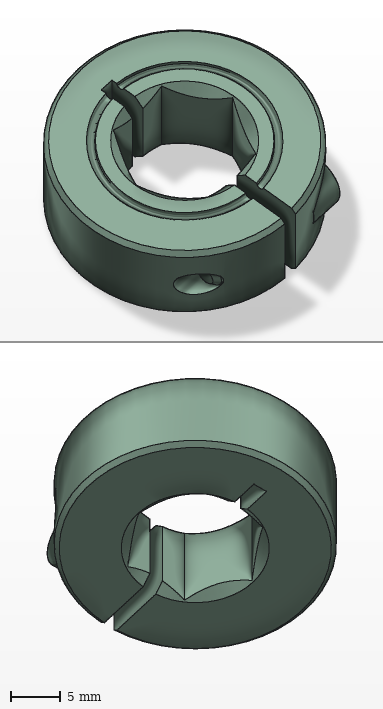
import cadquery as cq
import math

outer_diameter = 28.55
outer_radius = outer_diameter / 2
height = 10.3
top_z = height / 2
rim_chamfer = 0.5

hex_across_flats = 12.7
hex_across_corners = hex_across_flats * 2 / math.sqrt(3)
countersink_diameter = 14.97

groove_inner_radius = 9.02
groove_outer_radius = 9.95
groove_wall_inset = 0.09
groove_wall_depth = 0.243
groove_depth = 0.45

slot_width = 1.63
slot_end_x = -10.55

screw_x = 10.3
shank_diameter = 3.23
tip_diameter = 2.0
tip_chamfer = (shank_diameter - tip_diameter) / 2
tip_y = -8.48
head_diameter = 6.85
head_height = 4.17
head_top_y = 8.4
head_seat_y = head_top_y - head_height
head_fillet = 0.35
screw_hole_diameter = 3.45


def rod_along_y(diameter, start_y, end_y):
    """Cylinder on the screw axis between two Y positions."""
    start = cq.Vector(screw_x, start_y, 0)
    rod = cq.Solid.makeCylinder(diameter / 2, end_y - start_y, start, cq.Vector(0, 1, 0))
    return cq.Workplane(obj=rod)


def make_ring():
    ring = cq.Workplane("XY").circle(outer_radius).extrude(height / 2, both=True)
    return ring.edges("%CIRCLE").chamfer(rim_chamfer)


def make_hex_bore():
    """Hexagonal prism, corners on the Y axis, with a cone at each end."""
    prism = cq.Workplane("XY").polygon(6, hex_across_corners).extrude(height / 2, both=True)
    bore = prism.rotate((0, 0, 0), (0, 0, 1), 90)
    cone_height = countersink_diameter / 2
    for direction in (1, -1):
        cone = cq.Solid.makeCone(
            countersink_diameter / 2, 0, cone_height,
            cq.Vector(0, 0, direction * top_z), cq.Vector(0, 0, -direction),
        )
        bore = bore.union(cq.Workplane(obj=cone))
    return bore


def make_face_groove():
    """Ring with steep tapered walls and a rounded floor, sunk into the top face."""
    wall_bottom_z = top_z - groove_wall_depth
    middle_radius = (groove_inner_radius + groove_outer_radius) / 2
    return (
        cq.Workplane("XZ")
        .moveTo(groove_inner_radius, top_z)
        .lineTo(groove_inner_radius + groove_wall_inset, wall_bottom_z)
        .threePointArc(
            (middle_radius, top_z - groove_depth),
            (groove_outer_radius - groove_wall_inset, wall_bottom_z),
        )
        .lineTo(groove_outer_radius, top_z)
        .close()
        .revolve(360, (0, 0), (0, 1))
    )


def make_slot():
    slot_length = outer_radius - slot_end_x
    return (
        cq.Workplane("XY")
        .box(slot_length, slot_width, height)
        .translate((slot_end_x + slot_length / 2, 0, 0))
    )


def make_collar():
    screw_hole = rod_along_y(screw_hole_diameter, -outer_radius, head_seat_y)
    head_recess = rod_along_y(head_diameter, head_seat_y, outer_radius)
    return (
        make_ring()
        .cut(make_hex_bore())
        .cut(make_face_groove())
        .cut(make_slot())
        .cut(screw_hole)
        .cut(head_recess)
    )


def make_screw():
    shank = rod_along_y(shank_diameter, tip_y, head_seat_y).faces("<Y").chamfer(tip_chamfer)
    head = rod_along_y(head_diameter, head_seat_y, head_top_y).faces(">Y").edges().fillet(head_fillet)
    return shank.union(head)


collar = make_collar()
screw = make_screw()

result = cq.Compound.makeCompound([collar.val(), screw.val()])